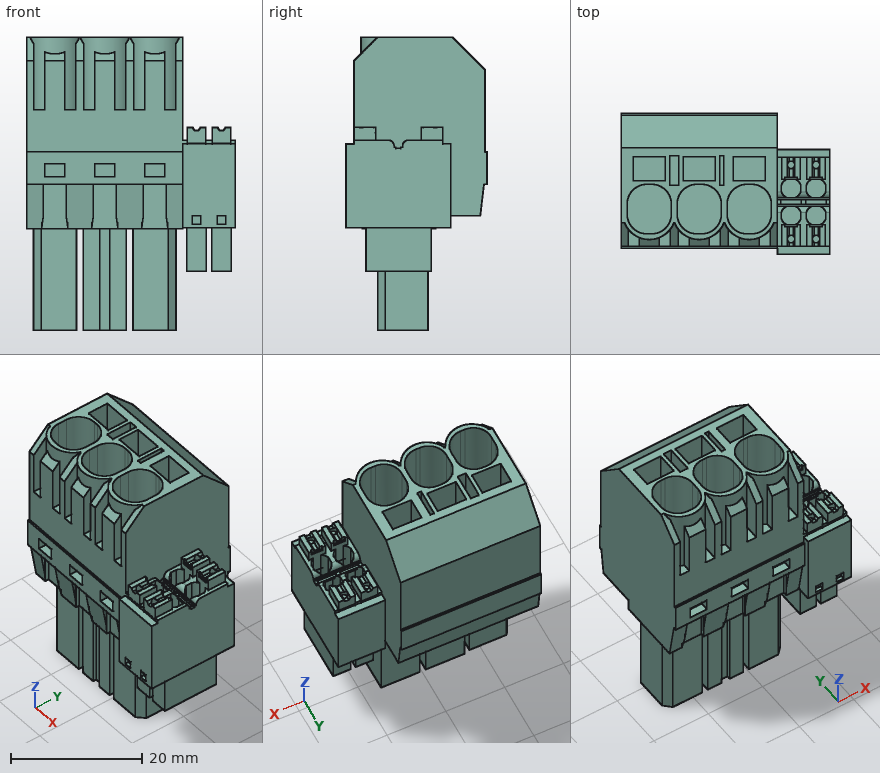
import cadquery as cq
import math


power_width = 23.79
power_depth = 20.0
power_height = 29.2
power_middle = power_width / 2
pole_count = 3
pole_pitch = 7.62
pole_centers = [power_middle + (i - (pole_count - 1) / 2) * pole_pitch for i in range(pole_count)]
front_chamfer = 3.6
rear_chamfer = 4.95

band_bottom = 6.76
band_top = 11.72
band_overhang = 0.31
taper_inset = 0.15
front_foot_y = 1.3
rear_foot_y = 19.28
rear_step_y = 12.5
rear_step_height = 1.95

tube_radius = 4.05
tube_center_y = 5.1
wire_hole_width = 6.75
wire_hole_length = 7.55
wire_hole_corner = 3.0
wire_hole_y = 5.7
wire_hole_depth = 15.0
relief_bottom = 18.15
relief_half_width = 3.2
tongue_half_width = 1.52

tool_pocket_width = 4.9
tool_pocket_front = 10.04
tool_pocket_rear = 13.67
code_slot_front = 9.29
code_slot_rear = 13.8
code_slot_offset = 0.71
code_slot_widths = [1.4, 0.67]
top_pocket_depth = 6.0

window_width = 3.05
window_bottom = 7.9
window_height = 2.0
window_depth = 1.4

recess_half_width = 1.73
recess_floor_half_width = 2.0
recess_flare_start_y = 0.95
recess_flare_end_y = 1.3
recess_floor_y = 1.95

leg_length = 15.5
leg_width = 6.6
leg_front = 3.63
leg_rear = 11.3
outer_leg_offset = 7.59
leg_corner = 1.18
first_leg_rear = 11.0
first_leg_rear_corner = 0.35
key_groove_width = 1.5
key_groove_depth = 0.6

signal_width = 8.0
signal_front = -1.22
signal_rear = 14.78
signal_bottom = 0.15
signal_ledge = 12.92
signal_top = 13.5
ledge_depth = -signal_front
signal_middle_x = power_width + signal_width / 2
signal_middle_y = (signal_front + signal_rear) / 2
signal_pitch = 3.81
signal_columns = [signal_middle_x - signal_pitch / 2, signal_middle_x + signal_pitch / 2]

trough_half_width = 0.64
trough_round = 0.9
trough_step = 0.15
trough_shoulder = signal_top - trough_round
trough_floor = trough_shoulder - trough_step
groove_half_width = 0.37
groove_depth = 0.5
divider_drop = 0.2
groove_pocket_width = 3.15

button_width = 2.86
button_length = 3.3
button_bottom = 10.0
button_top = 15.47
button_lip_height = 13.05
button_lip_overhang = 0.15
notch_top_width = 1.2
notch_bottom_width = 0.6
notch_depth = 0.48
notch_end_y = 3.02
tool_hole_radius = 0.58
tool_hole_y = 1.13
tool_hole_depth = 1.2
heel_width = 1.9
heel_depth = 0.8
signal_hole_radius = 1.56
signal_hole_width = 2.94
signal_hole_depth = 7.0

signal_leg_width = 3.0
signal_leg_front = 1.83
signal_leg_rear = 11.8
signal_leg_bottom = -6.48
signal_window_size = 1.27
signal_window_bottom = 0.68
signal_window_depth = 0.6


def block(x_range, y_range, z_range):
    """Axis-aligned block between the given limits."""
    size = [high - low for low, high in (x_range, y_range, z_range)]
    corner = (x_range[0], y_range[0], z_range[0])
    return cq.Workplane("XY").box(*size, centered=False).translate(corner)


def around(center, width):
    """Limits of a span of the given width about a center."""
    return (center - width / 2, center + width / 2)


def extrude_side_profile(points, x_start, width):
    """Extrude a closed (Y, Z) outline along +X."""
    return cq.Workplane("YZ", origin=(x_start, 0, 0)).polyline(points).close().extrude(width)


def mirror_to_rear_row(body):
    """Copy of a front-row signal feature in the rear row."""
    return body.mirror("XZ", (0, signal_middle_y, 0))


def power_shell():
    """Plain chamfered power block with its band and tapered foot."""
    outline = [
        (front_foot_y, 0),
        (taper_inset, band_bottom),
        (-band_overhang, band_bottom),
        (-band_overhang, band_top),
        (0, band_top),
        (0, power_height - front_chamfer),
        (front_chamfer, power_height),
        (power_depth - rear_chamfer, power_height),
        (power_depth, power_height - rear_chamfer),
        (power_depth, band_top),
        (power_depth + band_overhang, band_top),
        (power_depth + band_overhang, band_bottom),
        (power_depth - taper_inset, band_bottom),
        (rear_foot_y, rear_step_height),
        (rear_step_y, rear_step_height),
        (rear_step_y, 0),
    ]
    return extrude_side_profile(outline, 0, power_width)


def funnel_tube(x):
    """Round wall around a wire hole, standing proud of the front chamfer."""
    tube = cq.Workplane("XY", origin=(x, tube_center_y, relief_bottom)).circle(tube_radius)
    return tube.extrude(power_height - relief_bottom)


def funnel_reliefs(x):
    """Two upright slots that bare the tube on both sides of a front tongue."""
    z_range = (relief_bottom, power_height)
    y_range = (-band_overhang, tube_center_y)
    left = block((x - relief_half_width, x - tongue_half_width), y_range, z_range)
    right = block((x + tongue_half_width, x + relief_half_width), y_range, z_range)
    return left.union(right).cut(funnel_tube(x))


def power_wire_hole(x):
    floor = power_height - wire_hole_depth
    hole = cq.Workplane("XY", origin=(x, wire_hole_y, floor)).rect(wire_hole_width, wire_hole_length)
    return hole.extrude(wire_hole_depth).edges("|Z").fillet(wire_hole_corner)


def tool_pocket(x):
    z_range = (power_height - top_pocket_depth, power_height)
    return block(around(x, tool_pocket_width), (tool_pocket_front, tool_pocket_rear), z_range)


def code_slot(boundary_x, width):
    """Slot over the boundary between two poles."""
    left = boundary_x - code_slot_offset
    z_range = (power_height - top_pocket_depth, power_height)
    return block((left, left + width), (code_slot_front, code_slot_rear), z_range)


def test_window(x):
    y_range = (-band_overhang, window_depth - band_overhang)
    z_range = (window_bottom, window_bottom + window_height)
    return block(around(x, window_width), y_range, z_range)


def foot_recess(x):
    """Upright flat in the tapered foot, slightly wider at its floor than at its mouth."""
    half_outline = [
        (recess_half_width, -band_overhang),
        (recess_half_width, recess_flare_start_y),
        (recess_floor_half_width, recess_flare_end_y),
        (recess_floor_half_width, recess_floor_y),
    ]
    right_side = [(x + offset, y) for offset, y in half_outline]
    left_side = [(x - offset, y) for offset, y in reversed(half_outline)]
    return cq.Workplane("XY").polyline(right_side + left_side).close().extrude(band_bottom)


def power_legs():
    """First leg with a keyed corner, grooved middle leg, last leg with a keyed corner."""
    z_range = (-leg_length, 0)
    first = block(around(power_middle - outer_leg_offset, leg_width), (leg_front, first_leg_rear), z_range)
    first = first.edges("|Z and <X and <Y").chamfer(leg_corner)
    first = first.edges("|Z and <X and >Y").chamfer(first_leg_rear_corner)

    middle = block(around(power_middle, leg_width), (leg_front, leg_rear), z_range)
    groove = block(around(power_middle, key_groove_width), (leg_front, leg_front + key_groove_depth), z_range)
    middle = middle.cut(groove)

    last = block(around(power_middle + outer_leg_offset, leg_width), (leg_front, leg_rear), z_range)
    last = last.edges("|Z and >X and <Y").chamfer(leg_corner)
    return [first, middle, last]


def power_block():
    body = power_shell()
    for x in pole_centers:
        body = body.cut(funnel_reliefs(x)).union(funnel_tube(x))
    for x in pole_centers:
        body = body.cut(power_wire_hole(x))
        body = body.cut(tool_pocket(x))
        body = body.cut(test_window(x))
        body = body.cut(foot_recess(x))
    for x, width in zip(pole_centers, code_slot_widths):
        body = body.cut(code_slot(x + pole_pitch / 2, width))
    for leg in power_legs():
        body = body.union(leg)
    return body


def signal_shell():
    """Signal block with outer ledges and two tops rounded down into a middle trough."""
    front_inner = signal_front + ledge_depth
    rear_inner = signal_rear - ledge_depth
    trough_front = signal_middle_y - trough_half_width
    trough_rear = signal_middle_y + trough_half_width
    round_middle = trough_round * math.cos(math.radians(45))
    outline = (
        cq.Workplane("YZ", origin=(power_width, 0, 0))
        .moveTo(signal_front, signal_bottom)
        .lineTo(signal_front, signal_ledge)
        .lineTo(front_inner, signal_ledge)
        .lineTo(front_inner, signal_top)
        .lineTo(trough_front - trough_round, signal_top)
        .threePointArc(
            (trough_front - trough_round + round_middle, trough_shoulder + round_middle),
            (trough_front, trough_shoulder),
        )
        .lineTo(trough_front, trough_floor)
        .lineTo(trough_rear, trough_floor)
        .lineTo(trough_rear, trough_shoulder)
        .threePointArc(
            (trough_rear + trough_round - round_middle, trough_shoulder + round_middle),
            (trough_rear + trough_round, signal_top),
        )
        .lineTo(rear_inner, signal_top)
        .lineTo(rear_inner, signal_ledge)
        .lineTo(signal_rear, signal_ledge)
        .lineTo(signal_rear, signal_bottom)
        .close()
    )
    return outline.extrude(signal_width)


def trough_groove():
    """Groove along the trough, deepened at each column so that low dividers remain."""
    y_range = around(signal_middle_y, 2 * groove_half_width)
    x_range = (power_width, power_width + signal_width)
    groove = block(x_range, y_range, (trough_floor - divider_drop, trough_floor))
    for x in signal_columns:
        pocket = block(around(x, groove_pocket_width), y_range, (trough_floor - groove_depth, trough_floor))
        groove = groove.union(pocket)
    return groove


def button_blank(x):
    """Plain block of a front-row button, also the shape of its seat."""
    return block(around(x, button_width), (0, button_length), (button_bottom, button_top))


def signal_wire_hole(x):
    """Round hole with flats, between the button and the middle trough."""
    rear = signal_middle_y - trough_half_width
    center_y = (button_length + rear) / 2
    z_range = (signal_top - signal_hole_depth, signal_top)
    hole = cq.Workplane("XY", origin=(x, center_y, z_range[0])).circle(signal_hole_radius)
    flats = block(around(x, signal_hole_width), (button_length, rear), z_range)
    return hole.extrude(signal_hole_depth).intersect(flats)


def signal_window(x):
    y_range = (signal_front, signal_front + signal_window_depth)
    z_range = (signal_window_bottom, signal_window_bottom + signal_window_size)
    return block(around(x, signal_window_size), y_range, z_range)


def signal_leg(x):
    z_range = (signal_leg_bottom, signal_bottom)
    return block(around(x, signal_leg_width), (signal_leg_front, signal_leg_rear), z_range)


def signal_block():
    body = signal_shell().cut(trough_groove())
    for x in signal_columns:
        openings = button_blank(x).union(signal_wire_hole(x))
        body = body.cut(openings).cut(mirror_to_rear_row(openings))
        body = body.cut(signal_window(x))
        body = body.union(signal_leg(x))
    return body


def push_button(x):
    """Front-row button with an overhanging front lip, a screwdriver notch, a tool hole and a heel."""
    notch_floor = button_top - notch_depth
    notch_outline = [
        (x - notch_bottom_width / 2, notch_floor),
        (x - notch_top_width / 2, button_top),
        (x + notch_top_width / 2, button_top),
        (x + notch_bottom_width / 2, notch_floor),
    ]
    notch = cq.Workplane("XZ").polyline(notch_outline).close().extrude(-notch_end_y)
    heel = block(
        around(x, heel_width),
        (notch_end_y, button_length),
        (button_top - heel_depth, button_top),
    )
    tool_hole = (
        cq.Workplane("XY", origin=(x, tool_hole_y, button_top - tool_hole_depth))
        .circle(tool_hole_radius)
        .extrude(tool_hole_depth)
    )
    undercut = block(
        around(x, button_width),
        (0, button_lip_overhang),
        (button_bottom, button_lip_height),
    )
    return button_blank(x).cut(notch).cut(heel).cut(tool_hole).cut(undercut)


housing = power_block().union(signal_block())

buttons = []
for column_x in signal_columns:
    front_button = push_button(column_x)
    buttons.append(front_button)
    buttons.append(mirror_to_rear_row(front_button))

result = cq.Compound.makeCompound([housing.val(), *[button.val() for button in buttons]])